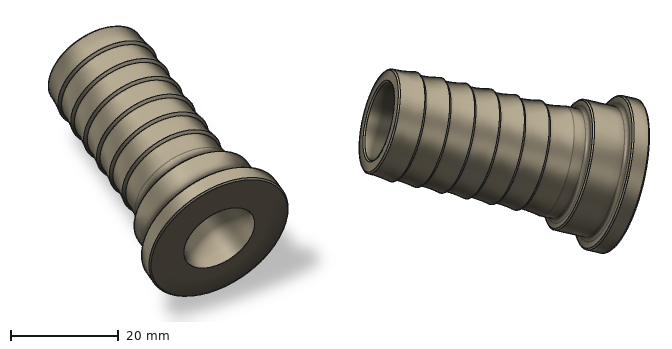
import cadquery as cq
import math

total_length = 48.5
barb_pitch = 5.0
barb_count = 7
barb_drop = 0.5
shoulder_x = 37.98
flange_x = 45.0

bore_diameter = 15.0
root_diameter = 20.0
crest_diameter = 21.0
collar_diameter = 25.0
flange_diameter = 29.5

edge_chamfer = 0.3
fillet_radius = 0.75

bore_radius = bore_diameter / 2
root_radius = root_diameter / 2
crest_radius = crest_diameter / 2
collar_radius = collar_diameter / 2
flange_radius = flange_diameter / 2


def add_barb(profile, start_x, end_x):
    """Concave rise from root to crest, starting parallel to the axis."""
    run = end_x - start_x
    rise = crest_radius - root_radius
    arc_radius = (run**2 + rise**2) / (2 * rise)
    half_angle = math.asin(run / arc_radius) / 2
    middle = (
        start_x + arc_radius * math.sin(half_angle),
        root_radius + arc_radius * (1 - math.cos(half_angle)),
    )
    return profile.threePointArc(middle, (end_x, crest_radius))


def add_inner_fillet(profile, cylinder_radius, face_x):
    """Round the corner between a cylinder and the larger face behind it."""
    diagonal = fillet_radius * math.sqrt(0.5)
    start_x = face_x - fillet_radius
    end_radius = cylinder_radius + fillet_radius
    return profile.lineTo(start_x, cylinder_radius).threePointArc(
        (start_x + diagonal, end_radius - diagonal), (face_x, end_radius)
    )


profile = (
    cq.Workplane("XY")
    .moveTo(edge_chamfer, bore_radius)
    .lineTo(0, bore_radius + edge_chamfer)
    .lineTo(0, root_radius - edge_chamfer)
)

for index in range(barb_count):
    lead_in = edge_chamfer if index == 0 else barb_drop
    start_x = index * barb_pitch + lead_in
    profile = profile.lineTo(start_x, root_radius)
    profile = add_barb(profile, start_x, (index + 1) * barb_pitch)

profile = add_inner_fillet(profile, crest_radius, shoulder_x)
profile = profile.lineTo(shoulder_x, collar_radius - edge_chamfer)
profile = profile.lineTo(shoulder_x + edge_chamfer, collar_radius)
profile = add_inner_fillet(profile, collar_radius, flange_x)

profile = (
    profile.lineTo(flange_x, flange_radius - edge_chamfer)
    .lineTo(flange_x + edge_chamfer, flange_radius)
    .lineTo(total_length - edge_chamfer, flange_radius)
    .lineTo(total_length, flange_radius - edge_chamfer)
    .lineTo(total_length, bore_radius)
    .close()
)

result = profile.revolve(360, (0, 0, 0), (1, 0, 0))